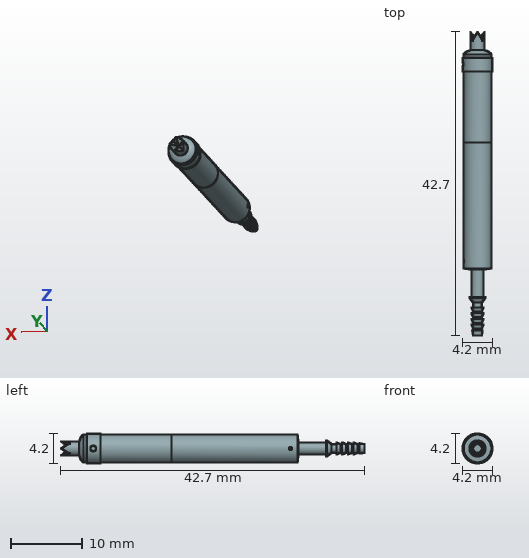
import cadquery as cq
import math


crown_radius = 1.0
tooth_angle = 60.0
groove_turn = 45.0
crown_tip_y = 5.5
valley_depth = crown_radius * math.sin(math.radians(groove_turn)) / math.tan(math.radians(tooth_angle / 2))

nose_y = 2.97
nose_base_y = 2.35
nose_top_radius = crown_radius
nose_mid_width_share = 0.62
nose_mid_height_share = 0.6
head_radius = 2.0
collar_radius = 2.1
collar_length = 1.95
collar_chamfer = 0.1
dimple_radius = 0.4
dimple_y = 1.0
dimple_depth = 0.1

upper_radius = 2.0
lower_radius = 1.98
barrel_step_y = -10.0
barrel_end_y = -27.75
end_taper_length = 0.22
end_taper_depth = 0.02
end_cone_height = 0.14
vent_radius = 0.2
vent_y = barrel_end_y + 1.0
vent_depth = 0.1

stem_radius = 0.86
flange_radius = 1.12
flange_y = -31.75
flange_thickness = 0.12
flange_cone_end_y = -32.55
neck_radius = 0.62
barb_radius = 0.85
last_barb_radius = 0.74
barb_length = 0.56
barb_pitch = 0.8
barb_count = 5
first_barb_y = -33.23
tail_end_y = -37.2


def rod(radius, y_low, y_high):
    """Cylinder on the Y axis between two Y positions."""
    return cq.Workplane("XZ", origin=(0, y_high, 0)).circle(radius).extrude(y_high - y_low)


def frustum(radius_high, radius_low, y_low, y_high):
    """Cone stretch on the Y axis."""
    profile = [(0, y_low), (radius_low, y_low), (radius_high, y_high), (0, y_high)]
    return cq.Workplane("XY").polyline(profile).close().revolve(360, (0, 0), (0, 1))


def side_hole(radius, y, depth, surface_radius):
    """Blind round hole sunk from the -X side."""
    start = cq.Workplane("YZ", origin=(-surface_radius, y, 0))
    return start.circle(radius).extrude(depth)


def crown():
    """Rod ending in four teeth left between two crossed V grooves."""
    body = rod(crown_radius, 0, crown_tip_y)
    reach = 2 * crown_radius
    rise = reach / math.tan(math.radians(tooth_angle / 2))
    valley_y = crown_tip_y - valley_depth
    groove = (
        cq.Workplane("XY")
        .polyline([(0, valley_y), (reach, valley_y + rise), (-reach, valley_y + rise)])
        .close()
        .extrude(reach, both=True)
    )
    for turn in (groove_turn, -groove_turn):
        body = body.cut(groove.rotate((0, 0, 0), (0, 1, 0), turn))
    return body


def head():
    """Rounded nose, short neck and chamfered collar with a side dimple."""
    nose_mid_radius = nose_top_radius + (head_radius - nose_top_radius) * nose_mid_width_share
    nose_mid_y = nose_base_y + (nose_y - nose_base_y) * nose_mid_height_share
    outline = (
        cq.Workplane("XY")
        .moveTo(0, 0)
        .lineTo(collar_radius, 0)
        .lineTo(collar_radius, collar_length - collar_chamfer)
        .lineTo(head_radius, collar_length)
        .lineTo(head_radius, nose_base_y)
        .threePointArc((nose_mid_radius, nose_mid_y), (nose_top_radius, nose_y))
        .lineTo(0, nose_y)
        .close()
    )
    body = outline.revolve(360, (0, 0), (0, 1))
    return body.cut(side_hole(dimple_radius, dimple_y, dimple_depth, collar_radius))


def barrel():
    """Two-part tube with a slight end taper and a shallow cone around the stem, plus a vent."""
    taper_y = barrel_end_y + end_taper_length
    end_radius = lower_radius - end_taper_depth
    body = rod(upper_radius, barrel_step_y, 0)
    body = body.union(rod(lower_radius, taper_y, barrel_step_y))
    body = body.union(frustum(lower_radius, end_radius, barrel_end_y, taper_y))
    body = body.union(frustum(end_radius, stem_radius, barrel_end_y - end_cone_height, barrel_end_y))
    return body.cut(side_hole(vent_radius, vent_y, vent_depth, lower_radius))


def tail():
    """Stem, flange and barbed neck."""
    body = rod(neck_radius, tail_end_y, barrel_end_y)
    body = body.union(rod(stem_radius, flange_y, barrel_end_y))
    flange_low_y = flange_y - flange_thickness
    body = body.union(rod(flange_radius, flange_low_y, flange_y))
    body = body.union(frustum(flange_radius, neck_radius, flange_cone_end_y, flange_low_y))
    for index in range(barb_count):
        barb_y = first_barb_y - index * barb_pitch
        is_last = index == barb_count - 1
        radius = last_barb_radius if is_last else barb_radius
        cone_end_y = tail_end_y if is_last else barb_y - barb_length
        body = body.union(frustum(radius, neck_radius, cone_end_y, barb_y))
    return body


result = crown().union(head()).union(barrel()).union(tail())